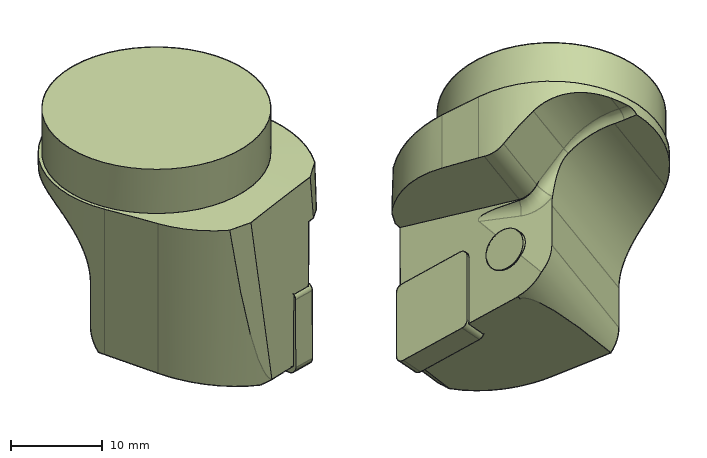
import cadquery as cq
import math

COUPLING_DIAMETER = 25.0
COUPLING_HEIGHT = 5.7
HEAD_RADIUS = 12.9
NOSE_CENTER_X = 6.5
UPPER_FLAT_ANGLE = math.radians(11)
UPPER_FLAT_LENGTH = 5.06
UPPER_ARC_RADIUS = 14.3
UPPER_ARC_END_Y = 3.0
SHOULDER_DROP = 0.2
SHOULDER_OUTER_RADIUS = 17.3
BLANK_DEPTH = 25.0
SPAN = 60.0

BLADE_LEFT_X = -1.78
FLANGE_SLOPE = math.radians(4)
NECK_RADIUS = 8.4
NECK_CENTER_Z = -10.1
HEEL_RADIUS = 5.0
HEEL_CENTER_Z = -15.65
HEEL_END_ANGLE = math.radians(5.4)

BLADE_Y = 3.4
POCKET_DEPTH = 8.75
POCKET_ROOF_Z = -0.98
POCKET_ARC_START_X = -10.8
POCKET_ARC_RADIUS = 9.0
POCKET_RAMP_ANGLE = math.radians(49)
POCKET_EDGE_RADIUS = 2.5
POCKET_WALL_FILLET = 1.55
POCKET_FLOOR_RISE = math.radians(12)

BOTTOM_FACE = ((3.0, 2.6, -20.7), (-0.096, -0.106, -1.0))
FLANK_FACE = ((17.17, 3.4, 0.0), (1.0, -0.154, 0.088))
LOWER_CORNER_FACE = ((15.37, -8.15, 0.0), (1.0, -0.586, 0.063))
UPPER_CORNER_FACE = ((17.1, 3.2, 0.0), (1.0, 0.3, 0.081))
TIP_RELIEF_FACE = ((17.3, -1.86, -21.6), (2.3, -0.7, -3.66))

INSERT_INSCRIBED_DIAMETER = 9.525
INSERT_THICKNESS = 3.18
INSERT_NOSE_ANGLE = math.radians(80)
INSERT_CORNER_RADIUS = 0.8
INSERT_TIP = (18.938, 0.05, -22.373)
RAKE_NORMAL = (0.168, 1.0, -0.13)
SEAT_LAND_DROP = 0.35

SCREW_HEAD_DIAMETER = 5.0
SCREW_HEAD_CENTER = (4.0, 3.42, -14.15)
SCREW_HEAD_HEIGHT = 2.0


def tilted_plane(origin, normal, inward=(0.0, 0.0, 1.0)):
    """Work plane at origin whose local x follows the inward direction."""
    normal = cq.Vector(*normal).normalized()
    inward = cq.Vector(*inward)
    x_direction = inward - normal * inward.dot(normal)
    return cq.Plane(cq.Vector(*origin), x_direction.normalized(), normal)


def outside_of(face):
    """Block that fills the space outside a flat trimming face."""
    point, normal = face
    inward = (1.0, 0.0, 0.0) if abs(normal[2]) > abs(normal[0]) else (0.0, 0.0, 1.0)
    return cq.Workplane(tilted_plane(point, normal, inward)).rect(2 * SPAN, 2 * SPAN).extrude(SPAN)


def head_blank():
    """Prism with the outline of the head."""
    sine, cosine = math.sin(UPPER_FLAT_ANGLE), math.cos(UPPER_FLAT_ANGLE)
    arc_inset = HEAD_RADIUS - UPPER_ARC_RADIUS
    center_x = UPPER_FLAT_LENGTH * cosine + arc_inset * sine
    center_y = arc_inset * cosine - UPPER_FLAT_LENGTH * sine
    start_angle = math.pi / 2 - UPPER_FLAT_ANGLE
    end_angle = math.asin((UPPER_ARC_END_Y - center_y) / UPPER_ARC_RADIUS)

    def upper_arc(angle):
        return (center_x + UPPER_ARC_RADIUS * math.cos(angle), center_y + UPPER_ARC_RADIUS * math.sin(angle))

    half = HEAD_RADIUS * math.sqrt(0.5)
    return (
        cq.Workplane("XY")
        .moveTo(0, -HEAD_RADIUS)
        .lineTo(NOSE_CENTER_X, -HEAD_RADIUS)
        .threePointArc((NOSE_CENTER_X + half, -half), (NOSE_CENTER_X + HEAD_RADIUS, 0))
        .lineTo(*upper_arc(end_angle))
        .threePointArc(upper_arc((start_angle + end_angle) / 2), upper_arc(start_angle))
        .lineTo(HEAD_RADIUS * sine, HEAD_RADIUS * cosine)
        .threePointArc((-HEAD_RADIUS, 0), (0, -HEAD_RADIUS))
        .close()
        .extrude(-BLANK_DEPTH)
    )


def shoulder_cutter():
    """Ring that leaves a shallow cone around the coupling."""
    coupling_radius = COUPLING_DIAMETER / 2
    slope = SHOULDER_DROP / (SHOULDER_OUTER_RADIUS - coupling_radius)
    return (
        cq.Workplane("XZ")
        .moveTo(coupling_radius, 0)
        .lineTo(SPAN, 0)
        .lineTo(SPAN, -slope * (SPAN - coupling_radius))
        .close()
        .revolve(360, (0, 0, 0), (0, 1, 0))
    )


def left_relief():
    """Space under the flange on the -X side, with a round neck and heel."""
    neck_x = BLADE_LEFT_X - NECK_RADIUS
    heel_x = BLADE_LEFT_X + HEEL_RADIUS

    def on_neck(angle):
        return (neck_x + NECK_RADIUS * math.cos(angle), NECK_CENTER_Z + NECK_RADIUS * math.sin(angle))

    def on_heel(angle):
        return (heel_x - HEEL_RADIUS * math.cos(angle), HEEL_CENTER_Z - HEEL_RADIUS * math.sin(angle))

    neck_angle = math.pi / 2 - FLANGE_SLOPE
    heel_angle = math.pi / 2 - HEEL_END_ANGLE
    neck_start = on_neck(neck_angle)
    flange_z = neck_start[1] + (neck_start[0] + SPAN) * math.tan(FLANGE_SLOPE)
    return (
        cq.Workplane("XZ")
        .moveTo(-SPAN, flange_z)
        .lineTo(*neck_start)
        .threePointArc(on_neck(neck_angle / 2), (BLADE_LEFT_X, NECK_CENTER_Z))
        .lineTo(BLADE_LEFT_X, HEEL_CENTER_Z)
        .threePointArc(on_heel(heel_angle / 2), on_heel(heel_angle))
        .lineTo(on_heel(heel_angle)[0], -SPAN)
        .lineTo(-SPAN, -SPAN)
        .close()
        .extrude(SPAN, both=True)
    )


def pocket_prism(start_y):
    """Space below the curved roof, ramp and floor of the chip pocket, from start_y toward +Y."""
    arc_center_z = POCKET_ROOF_Z - POCKET_ARC_RADIUS
    ramp_sine, ramp_cosine = math.sin(POCKET_RAMP_ANGLE), math.cos(POCKET_RAMP_ANGLE)
    half = POCKET_RAMP_ANGLE / 2
    ramp_x = POCKET_ARC_START_X + POCKET_ARC_RADIUS * ramp_sine
    ramp_z = arc_center_z + POCKET_ARC_RADIUS * ramp_cosine
    half_difference = (POCKET_RAMP_ANGLE - POCKET_FLOOR_RISE) / 2
    half_sum = (POCKET_RAMP_ANGLE + POCKET_FLOOR_RISE) / 2
    corner_drop = POCKET_EDGE_RADIUS * (math.cos(half_difference) / math.cos(half_sum) - 1)
    corner_z = -POCKET_DEPTH - corner_drop
    corner_x = ramp_x + (ramp_z - corner_z) / math.tan(POCKET_RAMP_ANGLE)
    floor_end_z = corner_z + (SPAN - corner_x) * math.tan(POCKET_FLOOR_RISE)
    prism = (
        cq.Workplane("XZ", origin=(0, start_y, 0))
        .moveTo(-SPAN, POCKET_ROOF_Z)
        .lineTo(POCKET_ARC_START_X, POCKET_ROOF_Z)
        .threePointArc(
            (POCKET_ARC_START_X + POCKET_ARC_RADIUS * math.sin(half),
             arc_center_z + POCKET_ARC_RADIUS * math.cos(half)),
            (ramp_x, ramp_z),
        )
        .lineTo(corner_x, corner_z)
        .lineTo(SPAN, floor_end_z)
        .lineTo(SPAN, -SPAN)
        .lineTo(-SPAN, -SPAN)
        .close()
        .extrude(-SPAN)
    )
    corner = cq.selectors.NearestToPointSelector((corner_x, start_y + SPAN / 2, corner_z))
    return prism.edges(corner).fillet(POCKET_EDGE_RADIUS)


def chip_pocket():
    """Pocket beside the blade, rounded where its roof meets the blade wall."""
    prism = pocket_prism(BLADE_Y)
    roof_edges = prism.faces("<Y").edges().filter(lambda edge: edge.Center().z > -SPAN / 4)
    return prism.newObject(roof_edges.vals()).fillet(POCKET_WALL_FILLET)


def blade_land():
    """Space above the tilted blade face that surrounds the insert."""
    normal = cq.Vector(*RAKE_NORMAL).normalized()
    origin = cq.Vector(*INSERT_TIP) - normal * SEAT_LAND_DROP
    return outside_of((origin.toTuple(), RAKE_NORMAL)).intersect(pocket_prism(-SPAN / 2))


def make_insert():
    side = INSERT_INSCRIBED_DIAMETER / math.sin(INSERT_NOSE_ANGLE)
    along = side * math.cos(INSERT_NOSE_ANGLE / 2)
    across = side * math.sin(INSERT_NOSE_ANGLE / 2)
    rake_plane = tilted_plane(INSERT_TIP, RAKE_NORMAL, (-1.0, 0.0, 1.0))
    return (
        cq.Workplane(rake_plane)
        .polyline([(0, 0), (along, -across), (2 * along, 0), (along, across)])
        .close()
        .extrude(-INSERT_THICKNESS)
        .edges(cq.selectors.ParallelDirSelector(rake_plane.zDir))
        .fillet(INSERT_CORNER_RADIUS)
    )


def screw_head():
    plane = tilted_plane(SCREW_HEAD_CENTER, RAKE_NORMAL)
    return cq.Workplane(plane).circle(SCREW_HEAD_DIAMETER / 2).extrude(-SCREW_HEAD_HEIGHT)


def make_holder(insert):
    head = head_blank().cut(shoulder_cutter()).cut(left_relief())
    for face in (BOTTOM_FACE, FLANK_FACE, LOWER_CORNER_FACE, UPPER_CORNER_FACE, TIP_RELIEF_FACE):
        head = head.cut(outside_of(face))
    head = head.cut(chip_pocket()).cut(blade_land())
    coupling = cq.Workplane("XY").circle(COUPLING_DIAMETER / 2).extrude(COUPLING_HEIGHT)
    return head.union(coupling).union(screw_head()).cut(insert)


insert = make_insert()
holder = make_holder(insert)
result = cq.Compound.makeCompound([*holder.vals(), insert.val()])